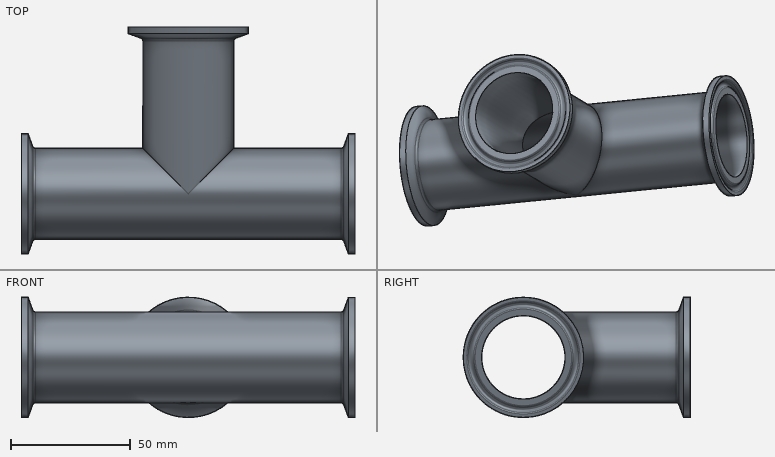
import cadquery as cq
import math

run_length = 139.7
leg_length = run_length / 2
tube_radius = 38.1 / 2
bore_radius = 34.8 / 2

rim_radius = 50.39 / 2
rim_thickness = 2.85
taper_angle = math.radians(20)
neck_fillet = 1.2

groove_ring_radius = 21.95
groove_arc_radius = 1.25
groove_lip_round = 0.6


def solid_leg():
    """Tube and ferrule without bore, along +Z from the tee centre to the clamp face."""
    rim_back = leg_length - rim_thickness
    taper_foot = rim_back - (rim_radius - tube_radius) * math.tan(taper_angle)

    tangent_length = neck_fillet * math.tan((math.pi / 2 - taper_angle) / 2)
    fillet_start = taper_foot - tangent_length
    fillet_end = (
        tube_radius + tangent_length * math.cos(taper_angle),
        taper_foot + tangent_length * math.sin(taper_angle),
    )
    start_direction = math.pi
    end_direction = math.pi / 2 + taper_angle
    middle_direction = (start_direction + end_direction) / 2
    fillet_middle = (
        tube_radius + neck_fillet * (1 + math.cos(middle_direction)),
        fillet_start + neck_fillet * math.sin(middle_direction),
    )

    return (
        cq.Workplane("XZ")
        .lineTo(tube_radius, 0)
        .lineTo(tube_radius, fillet_start)
        .threePointArc(fillet_middle, fillet_end)
        .lineTo(rim_radius, rim_back)
        .lineTo(rim_radius, leg_length)
        .lineTo(0, leg_length)
        .close()
        .revolve(360, (0, 0), (0, 1))
    )


def gasket_groove():
    """Half-round ring groove in the clamp face with rounded lips, as a cutting body."""
    lip_height = leg_length - groove_lip_round
    lip_reach = math.sqrt((groove_arc_radius + groove_lip_round) ** 2 - groove_lip_round**2)
    touch_angle = math.atan2(groove_lip_round, lip_reach)
    lip_middle_angle = (math.pi / 2 + math.pi - touch_angle) / 2

    def touch_point(side):
        return (
            groove_ring_radius + side * groove_arc_radius * math.cos(touch_angle),
            leg_length - groove_arc_radius * math.sin(touch_angle),
        )

    def lip_edge(side):
        return (groove_ring_radius + side * lip_reach, leg_length)

    def lip_middle(side):
        return (
            groove_ring_radius + side * (lip_reach + groove_lip_round * math.cos(lip_middle_angle)),
            lip_height + groove_lip_round * math.sin(lip_middle_angle),
        )

    inner = -1
    outer = 1
    return (
        cq.Workplane("XZ")
        .moveTo(*lip_edge(inner))
        .threePointArc(lip_middle(inner), touch_point(inner))
        .threePointArc((groove_ring_radius, leg_length - groove_arc_radius), touch_point(outer))
        .threePointArc(lip_middle(outer), lip_edge(outer))
        .close()
        .revolve(360, (0, 0), (0, 1))
    )


def on_each_leg(body):
    """Copies of a body built along +Z, turned to point along +X, -X and +Y."""
    return [
        body.rotate((0, 0, 0), (0, 1, 0), 90),
        body.rotate((0, 0, 0), (0, 1, 0), -90),
        body.rotate((0, 0, 0), (1, 0, 0), -90),
    ]


def tee():
    leg = solid_leg().cut(gasket_groove())
    bore = cq.Workplane("XY").circle(bore_radius).extrude(leg_length)
    body = cq.Workplane("XY")
    for placed_leg in on_each_leg(leg):
        body = body.add(placed_leg)
    body = body.combine()
    for placed_bore in on_each_leg(bore):
        body = body.cut(placed_bore)
    return body


result = tee()